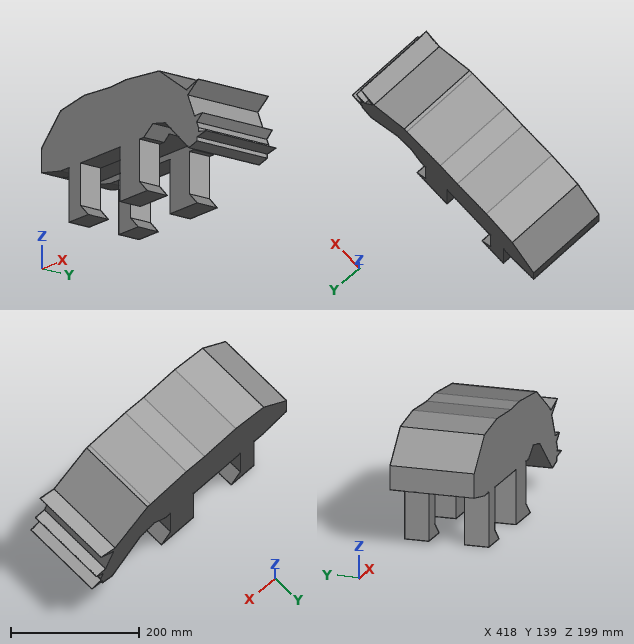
import cadquery as cq

LENGTH = 418.0
WIDTH = 139.0
HEIGHT = 199.0

BELLY_Z = 90.0
TAIL_BOTTOM_Z = 100.0
TAIL_TOP_Z = 139.5
SHOULDER_Z = 189.5

NECK_X = 314.0

LEG_WIDTH = 40.0
REAR_LEG_X = 70.0
REAR_LEG_LENGTH = 29.5
FRONT_LEG_X = 200.0
FRONT_LEG_LENGTH = 49.5
TOE_LENGTH = 19.5
TOE_HEIGHT = 20.0

BACK = [
    (0, TAIL_BOTTOM_Z),
    (0, TAIL_TOP_Z),
    (49.5, SHOULDER_Z),
    (109.0, HEIGHT),
    (176.0, 194.8),
    (215.3, 197.0),
    (292.0, 189.8),
    (298.5, SHOULDER_Z),
]
EAR = [(368.2, TAIL_TOP_Z), (398.5, 149.5), (371.5, 130.5)]
UPPER_HORN = [(388.7, 91.5), (408.5, 91.5), (394.0, 80.0)]
NOSE = [(399.0, 69.5)]
LOWER_HORN = [(398.5, 63.5), (LENGTH, 59.5), (395.5, 55.0)]

UNDERSIDE = [
    (395.5, 48.5),
    (374.5, 42.5),
    (NECK_X, TAIL_BOTTOM_Z),
    (283.5, 106.5),
    (260.0, BELLY_Z),
    (49.5, BELLY_Z),
]


def extrude_outline(points, y_start, width):
    """Extrude a closed (x, z) outline from y_start towards +Y."""
    plane = cq.Workplane("XZ", origin=(0, y_start, 0))
    return plane.polyline(points).close().extrude(-width)


def make_leg(back_x, leg_length, y_start):
    """Straight leg, rooted above the belly line, with a pointed toe sloping down to the ground."""
    front_x = back_x + leg_length
    outline = [
        (back_x, 0),
        (front_x + TOE_LENGTH, 0),
        (front_x, TOE_HEIGHT),
        (front_x, TAIL_BOTTOM_Z),
        (back_x, TAIL_BOTTOM_Z),
    ]
    return extrude_outline(outline, y_start, LEG_WIDTH)


side_outline = BACK + EAR + UPPER_HORN + NOSE + LOWER_HORN + UNDERSIDE
result = extrude_outline(side_outline, -WIDTH / 2, WIDTH)

for leg_x, leg_length in [(REAR_LEG_X, REAR_LEG_LENGTH), (FRONT_LEG_X, FRONT_LEG_LENGTH)]:
    for leg_y in (-WIDTH / 2, WIDTH / 2 - LEG_WIDTH):
        result = result.union(make_leg(leg_x, leg_length, leg_y))

channel_width = WIDTH - 2 * LEG_WIDTH
channel = cq.Workplane("XY").box(NECK_X, channel_width, TAIL_BOTTOM_Z, centered=(False, True, False))
result = result.cut(channel)